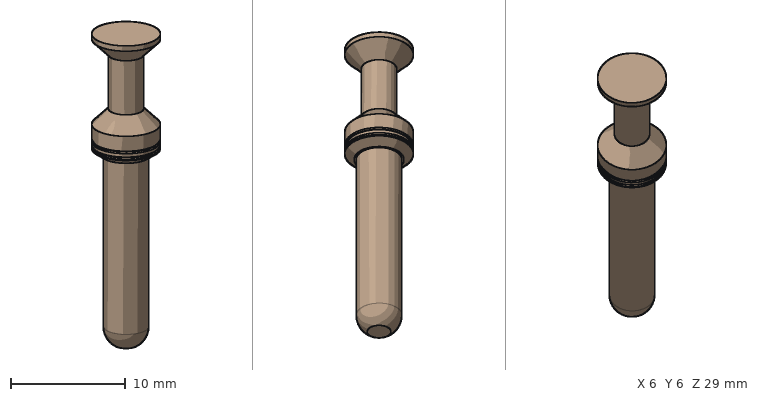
import cadquery as cq
import math

TOTAL_LENGTH = 29.0
COLLAR_RADIUS = 6.0 / 2
NECK_RADIUS = 3.1 / 2
SHANK_RADIUS = 4.0 / 2

HEAD_RIM = 0.5
NECK_BOTTOM = 7.0
COLLAR_BOTTOM = 10.7
SEAT_BOTTOM = 11.28

SEAT_RADIUS = 2.18
NOSE_HEIGHT = 1.7

GROOVE_TOPS = [9.83, 10.38]
GROOVE_WIDTH = 0.23
GROOVE_DEPTH = 0.12

flare_height = COLLAR_RADIUS - NECK_RADIUS
nose_tip_radius = math.sqrt(SHANK_RADIUS**2 - NOSE_HEIGHT**2)
nose_mid = SHANK_RADIUS * math.sqrt(0.5)


def height(depth):
    """Z position of a point at the given depth below the top face."""
    return TOTAL_LENGTH - depth


def turned_body():
    """Pin without grooves, revolved from its half outline."""
    outline = (
        cq.Workplane("XZ")
        .moveTo(0, 0)
        .lineTo(nose_tip_radius, 0)
        .threePointArc((nose_mid, NOSE_HEIGHT - nose_mid), (SHANK_RADIUS, NOSE_HEIGHT))
        .lineTo(SHANK_RADIUS, height(SEAT_BOTTOM))
        .lineTo(SEAT_RADIUS, height(SEAT_BOTTOM))
        .lineTo(COLLAR_RADIUS, height(COLLAR_BOTTOM))
        .lineTo(COLLAR_RADIUS, height(NECK_BOTTOM + flare_height))
        .lineTo(NECK_RADIUS, height(NECK_BOTTOM))
        .lineTo(NECK_RADIUS, height(HEAD_RIM + flare_height))
        .lineTo(COLLAR_RADIUS, height(HEAD_RIM))
        .lineTo(COLLAR_RADIUS, TOTAL_LENGTH)
        .lineTo(0, TOTAL_LENGTH)
        .close()
    )
    return outline.revolve(360, (0, 0, 0), (0, 1, 0))


def groove_cutter(top):
    """Ring of triangular section that removes one V groove, its upper edge at the given depth."""
    section = (
        cq.Workplane("XZ")
        .moveTo(COLLAR_RADIUS, height(top))
        .lineTo(COLLAR_RADIUS - GROOVE_DEPTH, height(top + GROOVE_WIDTH / 2))
        .lineTo(COLLAR_RADIUS, height(top + GROOVE_WIDTH))
        .close()
    )
    return section.revolve(360, (0, 0, 0), (0, 1, 0))


result = turned_body()
for groove_top in GROOVE_TOPS:
    result = result.cut(groove_cutter(groove_top))